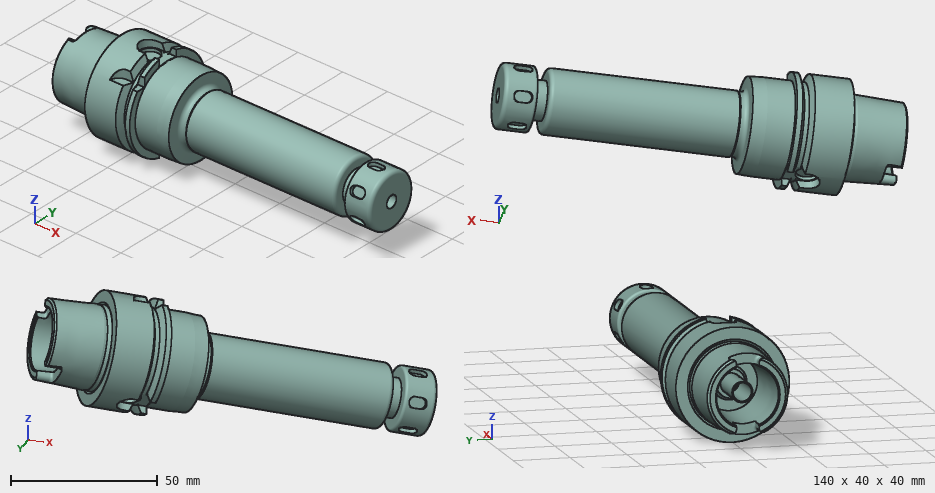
import cadquery as cq

overall_length = 140.0

taper_end_x = 17.6
taper_slope = 0.045
taper_mouth_radius = 14.1
taper_end_radius = taper_mouth_radius + taper_slope * taper_end_x
mouth_chamfer_length = 0.5
mouth_chamfer_depth = 0.8
relief_radius = 14.7
relief_start_x = 18.8

flange_x = 20.0
flange_end_x = 40.0
flange_radius = 20.0
face_recess_inner_radius = 15.0
face_recess_outer_radius = 15.8
face_recess_depth = 0.5
groove_radius = 17.1
groove_start_x = 33.7
groove_floor_start_x = 35.1
groove_floor_end_x = 36.8
groove_end_x = 38.1

hub_radius = 17.1
hub_straight_end_x = 49.7
hub_end_x = 54.7
hub_end_radius = 16.8
hub_face_dish = 0.3

shank_radius = 11.5
neck_radius = 11.2
neck_fillet = 1.7
neck_start_x = hub_end_x + hub_face_dish + neck_fillet
neck_end_x = 57.7
neck_ramp = 0.4
shank_end_x = 124.2
shank_end_fillet = 1.5
spindle_radius = 7.0

nut_radius = shank_radius
nut_start_x = 128.4
nut_end_x = overall_length
nut_back_fillet = 1.0
nut_front_fillet = shank_end_fillet
nut_slot_count = 6
nut_slot_center_x = 133.3
nut_slot_length = 6.5
nut_slot_width = 3.9
nut_slot_floor_radius = 9.8

cavity_mouth_diameter = 22.7
cavity_diameter = 21.8
cavity_chamfer = 0.4
cavity_step_x = 8.7
inner_cavity_diameter = 21.0
inner_cavity_floor_diameter = 19.5
cavity_floor_x = 23.8

collar_diameter = 12.0
collar_top_diameter = 10.2
collar_height = 1.4
tube_diameter = 7.3
tube_bore_diameter = 6.5
tube_start_x = 7.3
nipple_top_diameter = 5.0
nipple_height = 1.4
through_bore_diameter = 5.0

notch_width = 8.0
upper_notch_depth = 3.5
lower_notch_depth = 5.7
notch_floor_fillet = 1.0
notch_shoulder_z = 12.9
notch_shoulder_fillet = 1.5

cutter_diameter = 8.8
slot_center_x = 32.2
key_slot_floor_z = 16.7
key_hole_diameter = 8.0
key_hole_depth = 1.4
corner_slot_wall_y = -12.2
corner_slot_floor_z = 12.0


def revolve_about_x(profile):
    return profile.close().revolve(360, (0, 0, 0), (1, 0, 0))


def x_cylinder(diameter, start_x, end_x):
    return cq.Workplane("YZ").workplane(offset=start_x).circle(diameter / 2).extrude(end_x - start_x)


def x_cone(start_diameter, end_diameter, start_x, end_x):
    profile = (
        cq.Workplane("XY")
        .moveTo(start_x, 0)
        .lineTo(start_x, start_diameter / 2)
        .lineTo(end_x, end_diameter / 2)
        .lineTo(end_x, 0)
    )
    return revolve_about_x(profile)


def make_taper_and_flange():
    profile = (
        cq.Workplane("XY")
        .lineTo(0, taper_mouth_radius - mouth_chamfer_depth)
        .lineTo(mouth_chamfer_length, taper_mouth_radius + taper_slope * mouth_chamfer_length)
        .lineTo(taper_end_x, taper_end_radius)
        .lineTo(relief_start_x, relief_radius)
        .lineTo(flange_x, face_recess_inner_radius)
        .lineTo(flange_x + face_recess_depth, face_recess_inner_radius)
        .lineTo(flange_x, face_recess_outer_radius)
        .lineTo(flange_x, flange_radius)
        .lineTo(groove_start_x, flange_radius)
        .lineTo(groove_floor_start_x, groove_radius)
        .lineTo(groove_floor_end_x, groove_radius)
        .lineTo(groove_end_x, flange_radius)
        .lineTo(flange_end_x, flange_radius)
        .lineTo(flange_end_x, 0)
    )
    return revolve_about_x(profile)


def make_hub_and_shank():
    profile = (
        cq.Workplane("XY")
        .moveTo(flange_end_x, 0)
        .lineTo(flange_end_x, hub_radius)
        .lineTo(hub_straight_end_x, hub_radius)
        .lineTo(hub_end_x, hub_end_radius)
        .lineTo(hub_end_x + hub_face_dish, neck_radius + neck_fillet)
        .radiusArc((neck_start_x, neck_radius), -neck_fillet)
        .lineTo(neck_end_x, neck_radius)
        .lineTo(neck_end_x + neck_ramp, shank_radius)
        .lineTo(shank_end_x - shank_end_fillet, shank_radius)
        .radiusArc((shank_end_x, shank_radius - shank_end_fillet), shank_end_fillet)
        .lineTo(shank_end_x, 0)
    )
    return revolve_about_x(profile)


def make_nut():
    nut = x_cylinder(2 * nut_radius, nut_start_x, nut_end_x)
    nut = nut.faces("<X").edges().fillet(nut_back_fillet)
    nut = nut.faces(">X").edges().fillet(nut_front_fillet)
    slot = (
        cq.Workplane("XY")
        .workplane(offset=nut_slot_floor_radius)
        .center(nut_slot_center_x, 0)
        .slot2D(nut_slot_length, nut_slot_width)
        .extrude(nut_radius)
    )
    for index in range(nut_slot_count):
        nut = nut.cut(slot.rotate((0, 0, 0), (1, 0, 0), index * 360 / nut_slot_count))
    return nut


def make_cavity():
    cavity = x_cone(cavity_mouth_diameter, cavity_diameter, 0, cavity_chamfer)
    cavity = cavity.union(x_cone(cavity_diameter, inner_cavity_diameter, cavity_chamfer, cavity_step_x))
    return cavity.union(
        x_cone(inner_cavity_diameter, inner_cavity_floor_diameter, cavity_step_x, cavity_floor_x)
    )


def make_coolant_tube():
    collar = x_cone(collar_top_diameter, collar_diameter, cavity_floor_x - collar_height, cavity_floor_x)
    tube = x_cylinder(tube_diameter, tube_start_x, cavity_floor_x)
    bore = x_cylinder(tube_bore_diameter, tube_start_x, cavity_floor_x)
    nipple = x_cone(nipple_top_diameter, tube_bore_diameter, cavity_floor_x - nipple_height, cavity_floor_x)
    return collar.union(tube).cut(bore).union(nipple)


def make_notch(depth, side):
    """Drive notch with rounded shoulders through the taper wall; side is 1 for +Z and -1 for -Z."""
    top_z = 2 * taper_mouth_radius
    half_width = notch_width / 2
    notch = (
        cq.Workplane("YZ")
        .moveTo(-half_width, 0)
        .lineTo(half_width, 0)
        .lineTo(half_width, notch_shoulder_z - notch_shoulder_fillet)
        .radiusArc((half_width + notch_shoulder_fillet, notch_shoulder_z), notch_shoulder_fillet)
        .lineTo(taper_mouth_radius, notch_shoulder_z)
        .lineTo(taper_mouth_radius, top_z)
        .lineTo(-taper_mouth_radius, top_z)
        .lineTo(-taper_mouth_radius, notch_shoulder_z)
        .lineTo(-half_width - notch_shoulder_fillet, notch_shoulder_z)
        .radiusArc((-half_width, notch_shoulder_z - notch_shoulder_fillet), notch_shoulder_fillet)
        .close()
        .extrude(depth)
    )
    notch = notch.faces(">X").edges().fillet(notch_floor_fillet)
    return notch if side > 0 else notch.mirror("XY")


def make_milled_slot(center_y, floor_z):
    """Round-ended slot milled from above, open towards the hub."""
    height = flange_radius - floor_z
    slot = cq.Workplane("XY").circle(cutter_diameter / 2).extrude(height)
    run = cq.Workplane("XY").box(
        flange_end_x - slot_center_x, cutter_diameter, height, centered=(False, True, False)
    )
    return slot.union(run).translate((slot_center_x, center_y, floor_z))


def make_key_slot():
    hole = (
        cq.Workplane("XY")
        .workplane(offset=key_slot_floor_z - key_hole_depth)
        .center(slot_center_x, 0)
        .circle(key_hole_diameter / 2)
        .extrude(2 * key_hole_depth)
    )
    return make_milled_slot(0, key_slot_floor_z).union(hole)


key_slot = make_key_slot()
taper = make_taper_and_flange().cut(key_slot).cut(key_slot.mirror("XY"))
taper = taper.cut(make_milled_slot(corner_slot_wall_y - cutter_diameter / 2, corner_slot_floor_z))
taper = taper.cut(make_cavity())
for depth, side in ((upper_notch_depth, 1), (lower_notch_depth, -1)):
    taper = taper.cut(make_notch(depth, side))

spindle = x_cylinder(2 * spindle_radius, shank_end_x, nut_start_x)
result = taper.union(make_coolant_tube()).union(make_hub_and_shank()).union(spindle).union(make_nut())
result = result.cut(x_cylinder(through_bore_diameter, 0, overall_length))